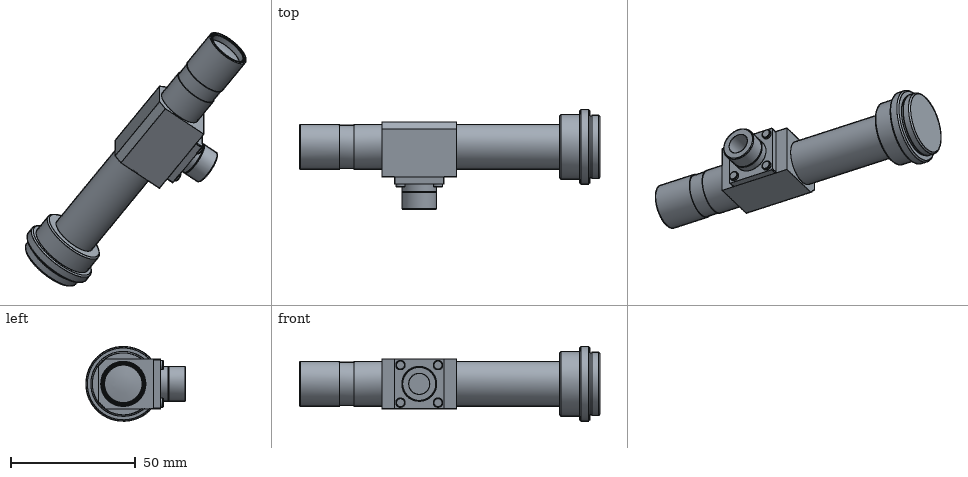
import cadquery as cq
import math

barrel_length = 120.4
grip_start = 16.0
grip_end = 21.9
block_start = 33.0
base_start = 104.1
ring_start = 112.2
ring_end = 116.3
thread_start = 117.1

tube_diameter = 18.0
grip_diameter = 17.5
base_diameter = 26.0
ring_diameter = 30.0
neck_diameter = 24.8
thread_diameter = 25.5

base_chamfer = 0.6
ring_chamfer = 0.6
thread_chamfer = 0.6

rim_chamfer = 0.4
mouth_diameter = 16.6
mouth_chamfer = 0.4
mouth_depth = 0.5
lens_bore_diameter = 15.0
lens_edge_depth = 2.9
lens_dome_height = 0.7

block_length = 30.0
block_height = 20.0
block_front = -12.0
block_back = 10.0
block_chamfer = 2.9

plate_size = block_height
plate_corner_chamfer = 0.4
plate_thickness = 2.9
spigot_diameter = 14.0
spigot_chamfer = 0.4
spigot_bore_diameter = 8.4
groove_offset = 3.0
groove_width = 0.4
groove_depth = 0.1

overall_depth = 40.0

screw_spacing = 15.0
screw_head_diameter = 3.7
screw_head_height = 1.1
screw_chamfer = 0.2

connector_x = block_start + block_length / 2
plate_front = block_front - plate_thickness
connector_end = ring_diameter / 2 - overall_depth
spigot_length = plate_front - connector_end


def cylinder_x(start, end, diameter):
    """Cylinder along the barrel axis between two X stations."""
    return cq.Workplane("YZ", origin=(start, 0, 0)).circle(diameter / 2).extrude(end - start)


def facing_front(y):
    """Workplane on the connector axis at a given Y, with its normal toward -Y."""
    return cq.Workplane("XZ", origin=(connector_x, y, 0))


def make_block():
    """Block with its two back edges bevelled."""
    return (
        cq.Workplane("XY")
        .box(block_length, block_back - block_front, block_height, centered=False)
        .edges("|X and >Y")
        .chamfer(block_chamfer)
        .translate((block_start, block_front, -block_height / 2))
    )


def make_lens_recess():
    """Stepped recess in the open end whose floor is a dome bulging outward."""
    mouth_radius = mouth_diameter / 2
    bore_radius = lens_bore_diameter / 2
    dome_top = lens_edge_depth - lens_dome_height
    sphere_radius = (bore_radius**2 + lens_dome_height**2) / (2 * lens_dome_height)
    mid_radius = bore_radius / 2
    mid_depth = dome_top + sphere_radius - math.sqrt(sphere_radius**2 - mid_radius**2)
    return (
        cq.Workplane("XY")
        .moveTo(0, 0)
        .lineTo(0, mouth_radius)
        .lineTo(mouth_chamfer, mouth_radius - mouth_chamfer)
        .lineTo(mouth_depth, mouth_radius - mouth_chamfer)
        .lineTo(mouth_depth, bore_radius)
        .lineTo(lens_edge_depth, bore_radius)
        .threePointArc((mid_depth, mid_radius), (dome_top, 0))
        .close()
        .revolve(360, (0, 0, 0), (1, 0, 0))
    )


def make_housing():
    """Tube, block and mounting flange in one piece."""
    front_tube = cylinder_x(0, grip_start, tube_diameter).faces("<X").edges().chamfer(rim_chamfer)
    base = cylinder_x(base_start, ring_start, base_diameter).faces("<X").edges().chamfer(base_chamfer)
    ring = cylinder_x(ring_start, ring_end, ring_diameter).edges().chamfer(ring_chamfer)
    thread = cylinder_x(thread_start, barrel_length, thread_diameter)
    thread = thread.faces(">X").edges().chamfer(thread_chamfer)
    return (
        front_tube
        .union(cylinder_x(grip_start, grip_end, grip_diameter))
        .union(cylinder_x(grip_end, base_start, tube_diameter))
        .union(make_block())
        .union(base)
        .union(ring)
        .union(cylinder_x(ring_end, thread_start, neck_diameter))
        .union(thread)
        .cut(make_lens_recess())
    )


def make_connector():
    """Square plate and round spigot, bored through to the block."""
    plate = (
        facing_front(block_front)
        .rect(plate_size, plate_size)
        .extrude(plate_thickness)
        .edges("|Y")
        .chamfer(plate_corner_chamfer)
    )
    spigot = (
        facing_front(plate_front)
        .circle(spigot_diameter / 2)
        .extrude(spigot_length)
        .faces("<Y")
        .edges()
        .chamfer(spigot_chamfer)
    )
    groove = (
        facing_front(plate_front - groove_offset)
        .circle(spigot_diameter / 2)
        .circle(spigot_diameter / 2 - groove_depth)
        .extrude(groove_width)
    )
    bore = facing_front(block_front).circle(spigot_bore_diameter / 2).extrude(plate_thickness + spigot_length)
    return plate.union(spigot).cut(groove).cut(bore)


def make_screw(x_offset, z_offset):
    """Screw head resting on the connector plate."""
    return (
        facing_front(plate_front)
        .center(x_offset, z_offset)
        .circle(screw_head_diameter / 2)
        .extrude(screw_head_height)
        .faces("<Y")
        .edges()
        .chamfer(screw_chamfer)
    )


housing = make_housing()
connector = make_connector()
screws = [
    make_screw(x_side * screw_spacing / 2, z_side * screw_spacing / 2)
    for x_side in (-1, 1)
    for z_side in (-1, 1)
]

result = cq.Compound.makeCompound([housing.val(), connector.val(), *[screw.val() for screw in screws]])